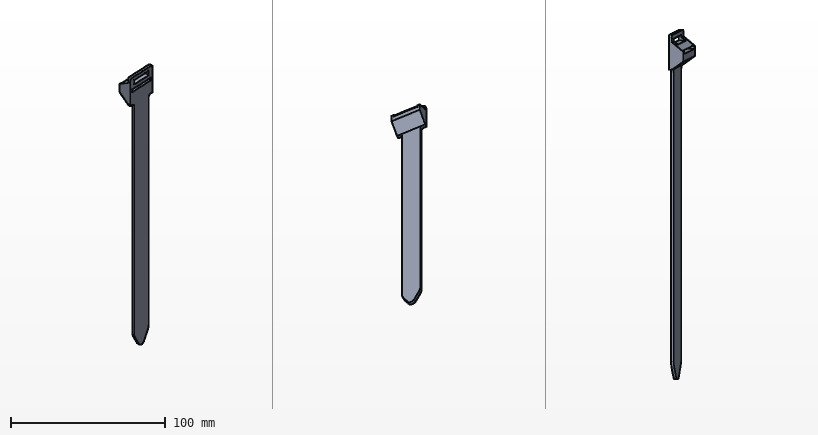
import cadquery as cq
import math

head_depth = 10.16
head_width = 20.32
total_length = 228.62

strap_thickness = 2.05
strap_width = 13.2
tip_radius = 2.54
taper_angle = math.radians(25)
shoulder_radius = 10.16
root_fillet = 2.0

head_length = 22.9
upper_slope_drop = 4.5
nose_top_drop = 10.3
nose_bottom_drop = 16.8
top_corner_radius = 1.4

upper_slot_width = 13.2
upper_slot_top_drop = 3.0
upper_slot_bottom_drop = 6.6
lower_slot_width = 17.0
lower_slot_top_drop = 9.8
lower_slot_bottom_drop = 12.0

strap_front_x = head_depth - strap_thickness
head_bottom_z = total_length - head_length


def make_head():
    """Trapezoidal nose on a flat plate, with rounded top corners."""
    profile = [
        (head_depth, total_length),
        (strap_front_x, total_length),
        (strap_front_x, total_length - upper_slope_drop),
        (0, total_length - nose_top_drop),
        (0, total_length - nose_bottom_drop),
        (strap_front_x, head_bottom_z),
        (head_depth, head_bottom_z),
    ]
    head = cq.Workplane("XZ").polyline(profile).close().extrude(head_width / 2, both=True)
    return head.faces(">Z").edges("|X").fillet(top_corner_radius)


def make_strap():
    """Flat strap with rounded shoulders, a straight taper and a round tip."""
    half_width = strap_width / 2
    tangent_y = tip_radius * math.cos(taper_angle)
    tangent_z = tip_radius * (1 - math.sin(taper_angle))
    shoulder_z = tangent_z + (half_width - tangent_y) / math.tan(taper_angle)

    outline = (
        cq.Workplane("YZ", origin=(strap_front_x, 0, 0))
        .moveTo(-half_width, head_bottom_z)
        .lineTo(-half_width, shoulder_z)
        .lineTo(-tangent_y, tangent_z)
        .threePointArc((0, 0), (tangent_y, tangent_z))
        .lineTo(half_width, shoulder_z)
        .lineTo(half_width, head_bottom_z)
        .close()
    )
    strap = outline.extrude(strap_thickness)
    shoulder_edges = cq.selectors.BoxSelector(
        (0, -head_width, shoulder_z - tip_radius),
        (2 * head_depth, head_width, shoulder_z + tip_radius),
    )
    return strap.edges("|X").edges(shoulder_edges).fillet(shoulder_radius)


def make_root_fillet(side):
    """Concave fillet between one edge of the strap and the head; side is +1 or -1."""
    edge_y = side * strap_width / 2
    outer_y = edge_y + side * root_fillet
    lower_z = head_bottom_z - root_fillet
    arc_offset = root_fillet * (1 - math.sqrt(0.5))
    return (
        cq.Workplane("YZ", origin=(strap_front_x, 0, 0))
        .moveTo(edge_y, head_bottom_z)
        .lineTo(outer_y, head_bottom_z)
        .threePointArc((edge_y + side * arc_offset, head_bottom_z - arc_offset), (edge_y, lower_z))
        .close()
        .extrude(strap_thickness)
    )


def make_slot(width, top_drop, bottom_drop):
    """Rectangular cutter running through the full depth of the head."""
    slot = cq.Workplane("XY").box(head_depth, width, bottom_drop - top_drop, centered=(False, True, False))
    return slot.translate((0, 0, total_length - bottom_drop))


result = make_head().union(make_strap())
for side in (-1, 1):
    result = result.union(make_root_fillet(side))
result = result.cut(make_slot(upper_slot_width, upper_slot_top_drop, upper_slot_bottom_drop))
result = result.cut(make_slot(lower_slot_width, lower_slot_top_drop, lower_slot_bottom_drop))